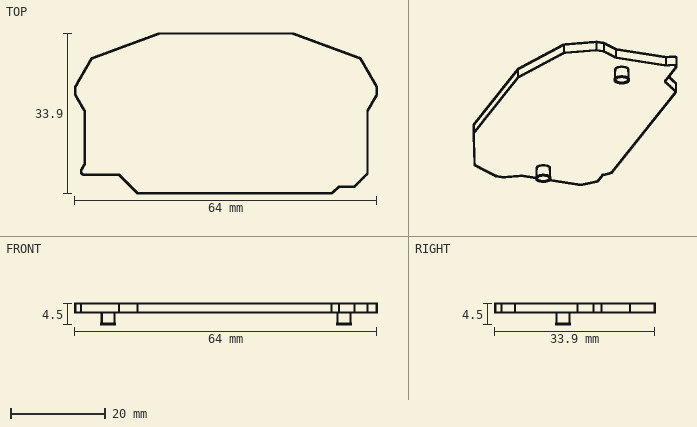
import cadquery as cq
import math

plate_thickness = 2.0
plate_width = 64.0
plate_depth = 33.9
top_y = 19.5
bottom_y = top_y - plate_depth

half_width = plate_width / 2
waist_half_width = 30.0
shoulder_half_width = 28.5
crown_half_width = 14.2
waist_y = 3.05
side_flat_height = 1.65
flank_slope = math.tan(math.radians(60))
side_low_y = waist_y + (half_width - waist_half_width) * flank_slope
side_high_y = side_low_y + side_flat_height
shoulder_y = side_high_y + (half_width - shoulder_half_width) * flank_slope

toe_start_y = -8.2
toe_bottom_y = -10.5
toe_radius = 0.75
toe_tip_x = -waist_half_width - (toe_start_y - toe_bottom_y) / flank_slope
left_cut_end_x = -18.8
left_cut_start_x = left_cut_end_x - (toe_bottom_y - bottom_y)

step_start_x = 22.4
step_height = 1.4
step_run = 1.6
step_y = bottom_y + step_height
right_cut = 2.8

pin_spacing = 50.0
pin_length = 2.5
pin_diameter = 2.8
pin_lip_diameter = 3.0
pin_lip_height = 0.2


def make_plate():
    """Flat plate with its one rounded corner at the toe."""
    outline = [
        (-crown_half_width, top_y),
        (crown_half_width, top_y),
        (shoulder_half_width, shoulder_y),
        (half_width, side_high_y),
        (half_width, side_low_y),
        (waist_half_width, waist_y),
        (waist_half_width, step_y + right_cut),
        (waist_half_width - right_cut, step_y),
        (step_start_x + step_run, step_y),
        (step_start_x, bottom_y),
        (left_cut_end_x, bottom_y),
        (left_cut_start_x, toe_bottom_y),
        (toe_tip_x, toe_bottom_y),
        (-waist_half_width, toe_start_y),
        (-waist_half_width, waist_y),
        (-half_width, side_low_y),
        (-half_width, side_high_y),
        (-shoulder_half_width, shoulder_y),
    ]
    plate = cq.Workplane("XY").polyline(outline).close().extrude(plate_thickness)
    toe_edge = cq.selectors.NearestToPointSelector((toe_tip_x, toe_bottom_y, plate_thickness / 2))
    return plate.edges("|Z").edges(toe_edge).fillet(toe_radius)


def make_pin(x):
    """Round pin hanging from the plate, with a thin lip at its free end."""
    stem = cq.Workplane("XY").center(x, 0).circle(pin_diameter / 2).extrude(-pin_length)
    lip_plane = cq.Workplane("XY").workplane(offset=-pin_length)
    lip = lip_plane.center(x, 0).circle(pin_lip_diameter / 2).extrude(pin_lip_height)
    return stem.union(lip)


result = make_plate()
for side in (-1, 1):
    result = result.union(make_pin(side * pin_spacing / 2))